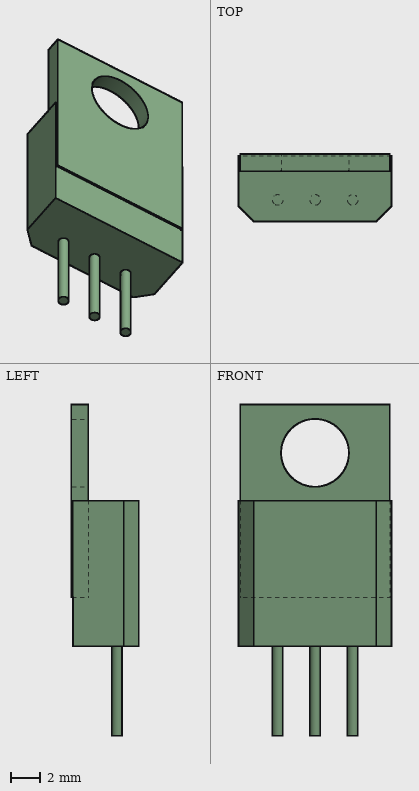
import cadquery as cq

TOTAL_HEIGHT = 22.55

HOUSING_WIDTH = 10.42
HOUSING_DEPTH = 4.49
HOUSING_HEIGHT = 9.92
HOUSING_CHAMFER = 1.04

PIN_DIAMETER = 0.72
PIN_LENGTH = 6.09
PIN_PITCH = 2.55
PIN_COUNT = 3
PIN_Y = 1.49

TAB_WIDTH = 10.2
TAB_THICKNESS = 1.17
TAB_PROUD = 0.11
TAB_HEIGHT = 13.1
TAB_HOLE_DIAMETER = 4.6
TAB_HOLE_FROM_TOP = 3.3

TAB_BACK = HOUSING_DEPTH + TAB_PROUD
TAB_FRONT = TAB_BACK - TAB_THICKNESS
TAB_BOTTOM = TOTAL_HEIGHT - TAB_HEIGHT


def make_tab_blank():
    """Plain tab plate, also used to cut the recess in the housing."""
    return cq.Workplane("XY").box(
        TAB_WIDTH, TAB_THICKNESS, TAB_HEIGHT, centered=(True, False, False)
    ).translate((0, TAB_FRONT, TAB_BOTTOM))


def make_tab():
    """Tab plate with its mounting hole."""
    hole = (
        cq.Workplane("XZ", origin=(0, TAB_BACK, TOTAL_HEIGHT - TAB_HOLE_FROM_TOP))
        .circle(TAB_HOLE_DIAMETER / 2)
        .extrude(TAB_THICKNESS)
    )
    return make_tab_blank().cut(hole)


def make_housing():
    """Block with chamfered front edges and a rear recess that holds the tab."""
    block = (
        cq.Workplane("XY", origin=(0, 0, PIN_LENGTH))
        .box(HOUSING_WIDTH, HOUSING_DEPTH, HOUSING_HEIGHT, centered=(True, False, False))
        .faces("<Y")
        .edges("|Z")
        .chamfer(HOUSING_CHAMFER)
    )
    return block.cut(make_tab_blank())


def make_pin(x):
    """Round pin that ends against the underside of the housing."""
    return cq.Workplane("XY", origin=(x, PIN_Y, 0)).circle(PIN_DIAMETER / 2).extrude(PIN_LENGTH)


housing = make_housing()
tab = make_tab()
first_pin_x = -PIN_PITCH * (PIN_COUNT - 1) / 2
pins = [make_pin(first_pin_x + i * PIN_PITCH) for i in range(PIN_COUNT)]

result = cq.Compound.makeCompound([housing.val(), tab.val(), *[pin.val() for pin in pins]])